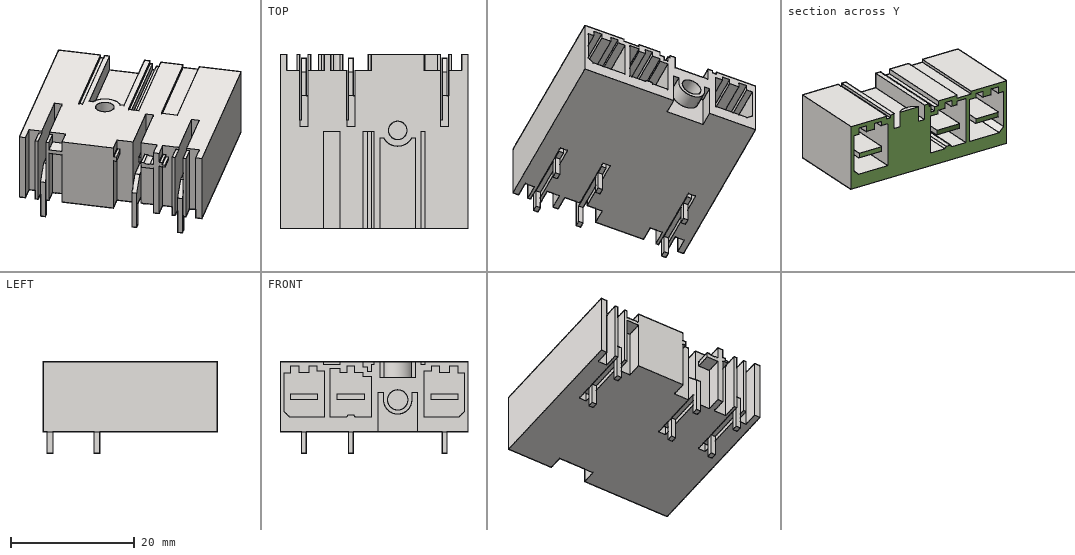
import cadquery as cq
import math


PITCH = 7.62
POSITIONS = 4
WIDTH = PITCH * POSITIONS
DEPTH = 28.3
HEIGHT = 11.4

LEFT_X, MIDDLE_X, SCREW_X, RIGHT_X = [PITCH * (i + 0.5) for i in range(POSITIONS)]
CONTACT_XS = (LEFT_X, MIDDLE_X, RIGHT_X)

CAVITY_DEPTH = 15.8
CAVITY_FLOOR = 2.4
KEY_FLOOR = 9.63
KEY_TOP = 10.65
OUTER_SHOULDER = 9.53
INNER_SHOULDER = 9.9
CORNER_CHAMFER = 0.87

RIDGE_BASE = 1.4
RIDGE_TOP = 0.9
RIDGE_HEIGHT = 0.36

GROOVE_DEPTH = 0.5
WIDE_GROOVE_X = (7.0, 9.68)
NARROW_GROOVE_X = (22.8, 23.47)
STEPPED_GROOVE_X = (13.42, 14.17, 14.8, 15.19)
STEP_DEPTHS = (0.86, 1.61, GROOVE_DEPTH)

POCKET_WIDTH = 5.82
POCKET_FLOOR = 8.78
POCKET_END = 14.7
TOP_HOLE_Y = 15.95
TOP_HOLE_DIAMETER = 3.0
TOP_BOSS_RADIUS = 2.58
TOP_HOLE_DEPTH = HEIGHT - POCKET_FLOOR
RECESS_WIDTH = 6.4
RECESS_HEIGHT = 6.4
RECESS_DEPTH = 2.55
FRONT_BOSS_RADIUS = 2.3
FRONT_HOLE_DIAMETER = 3.3
FRONT_HOLE_Z = 5.18
FRONT_HOLE_DEPTH = 10.0

REAR_Y = 25.7
REAR_WALL = 1.04
KEY_RIB_X = (7.15, 8.1)
SCREW_BLOCK_X = (14.78, 23.35)
SLOT_WIDTH = 1.3
SLOT_START = 16.6
RIB_WIDTH = 0.5
RIB_HEIGHT = 11.0

TONGUE_BOTTOM = 8.94
TONGUE_TOP = 9.74
TONGUE_REACH = 0.52
TONGUE_CHAMFER = 0.1
HOOK_REACH = 1.0
HOOK_HEIGHT = 0.4
LEDGE_TOP = 9.6
LIP_REACH = 2.05
LIP_LEDGE = 0.55
LIP_BOTTOM = 8.4
LIP_LEDGE_TOP = 9.2
LIP_RADIUS = 0.98
LIP_ARC_START = math.radians(-115)
LIP_ARC_END = math.radians(-50)

BLADE_WIDTH = 4.43
BLADE_THICKNESS = 0.9
BLADE_Z = HEIGHT / 2
BLADE_TIP = 5.0
BLADE_SHOULDER = 17.67
BLADE_END = 21.6
PLATE_THICKNESS = 0.8
PLATE_BOTTOM = 0.5
PLATE_SLOPE_START = 25.45
LEG_WIDTH = 1.0
LEG_LENGTH = 3.5
REAR_LEG_Y = 27.2
FRONT_LEG_Y = REAR_LEG_Y - PITCH


def box(x0, x1, y0, y1, z0, z1):
    return cq.Workplane("XY").box(x1 - x0, y1 - y0, z1 - z0, centered=False).translate((x0, y0, z0))


def along_y(points, y0, y1):
    """Extrude a closed XZ outline from y0 to y1."""
    return cq.Workplane("XZ", origin=(0, y0, 0)).polyline(points).close().extrude(y0 - y1)


def end_cavity():
    """Cavity of the left position, with two keyways and one chamfered corner."""
    outer, inner = 0.61, 7.17
    outer_key = (1.61, 3.01)
    inner_key = (4.64, 5.91)
    outline = [
        (outer + CORNER_CHAMFER, CAVITY_FLOOR),
        (inner, CAVITY_FLOOR),
        (inner, INNER_SHOULDER),
        (inner_key[1], INNER_SHOULDER),
        (inner_key[1], KEY_TOP),
        (inner_key[0], KEY_TOP),
        (inner_key[0], KEY_FLOOR),
        (outer_key[1], KEY_FLOOR),
        (outer_key[1], KEY_TOP),
        (outer_key[0], KEY_TOP),
        (outer_key[0], OUTER_SHOULDER),
        (outer, OUTER_SHOULDER),
        (outer, CAVITY_FLOOR + CORNER_CHAMFER),
    ]
    return along_y(outline, 0, CAVITY_DEPTH)


def middle_cavity():
    """Cavity of the second position, stepped at the ceiling and ridged on the floor."""
    left, right = 8.02, 14.81
    high_step_x, high_step_z = 9.68, 10.27
    low_step_x, low_step_z = 13.42, 9.0
    key = (10.78, 12.04)
    ridge_z = CAVITY_FLOOR + RIDGE_HEIGHT
    outline = [
        (left, CAVITY_FLOOR),
        (MIDDLE_X - RIDGE_BASE / 2, CAVITY_FLOOR),
        (MIDDLE_X - RIDGE_TOP / 2, ridge_z),
        (MIDDLE_X + RIDGE_TOP / 2, ridge_z),
        (MIDDLE_X + RIDGE_BASE / 2, CAVITY_FLOOR),
        (right, CAVITY_FLOOR),
        (right, low_step_z),
        (low_step_x, low_step_z),
        (low_step_x, KEY_FLOOR),
        (key[1], KEY_FLOOR),
        (key[1], KEY_TOP),
        (key[0], KEY_TOP),
        (key[0], KEY_FLOOR),
        (high_step_x, KEY_FLOOR),
        (high_step_x, high_step_z),
        (left, high_step_z),
    ]
    return along_y(outline, 0, CAVITY_DEPTH)


def groove(x0, x1, depth):
    return box(x0, x1, 0, CAVITY_DEPTH, HEIGHT - depth, HEIGHT)


def cut_top_grooves(body):
    body = body.cut(groove(*WIDE_GROOVE_X, GROOVE_DEPTH))
    body = body.cut(groove(*NARROW_GROOVE_X, GROOVE_DEPTH))
    for x0, x1, depth in zip(STEPPED_GROOVE_X, STEPPED_GROOVE_X[1:], STEP_DEPTHS):
        body = body.cut(groove(x0, x1, depth))
    return body


def cut_top_pocket(body):
    """Open pocket in the top face, ending at a round boss with a blind hole."""
    half = POCKET_WIDTH / 2
    pocket = box(SCREW_X - half, SCREW_X + half, 0, POCKET_END, POCKET_FLOOR, HEIGHT)
    floor = cq.Workplane("XY", origin=(SCREW_X, TOP_HOLE_Y, POCKET_FLOOR))
    body = body.cut(pocket.cut(floor.circle(TOP_BOSS_RADIUS).extrude(HEIGHT)))
    top = cq.Workplane("XY", origin=(SCREW_X, TOP_HOLE_Y, HEIGHT))
    return body.cut(top.circle(TOP_HOLE_DIAMETER / 2).extrude(-TOP_HOLE_DEPTH))


def cut_front_recess(body):
    """Recess in the mating face around a hanging round boss with a blind hole."""
    half = RECESS_WIDTH / 2
    recess = box(SCREW_X - half, SCREW_X + half, 0, RECESS_DEPTH, 0, RECESS_HEIGHT)
    boss_web = box(SCREW_X - FRONT_BOSS_RADIUS, SCREW_X + FRONT_BOSS_RADIUS,
                   0, RECESS_DEPTH, FRONT_HOLE_Z, RECESS_HEIGHT)
    face = cq.Workplane("XZ", origin=(SCREW_X, 0, FRONT_HOLE_Z))
    boss = face.circle(FRONT_BOSS_RADIUS).extrude(-RECESS_DEPTH)
    body = body.cut(recess.cut(boss_web).cut(boss))
    return body.cut(face.circle(FRONT_HOLE_DIAMETER / 2).extrude(-FRONT_HOLE_DEPTH))


def rear_tongue(edge_x):
    """Tongue on the left side of a wall at edge_x, with a chamfer up to the wall."""
    outline = [
        (edge_x, TONGUE_BOTTOM),
        (edge_x - TONGUE_REACH, TONGUE_BOTTOM),
        (edge_x - TONGUE_REACH, TONGUE_TOP),
        (edge_x - TONGUE_CHAMFER, TONGUE_TOP),
        (edge_x, TONGUE_TOP + TONGUE_CHAMFER),
    ]
    return along_y(outline, REAR_Y, DEPTH)


def rear_lip():
    """Long lip on the right of the key rib, with a concave trough rising to its outer land."""
    wall = KEY_RIB_X[1]
    arc_x = wall + LIP_LEDGE - LIP_RADIUS * math.cos(LIP_ARC_START)
    arc_z = LIP_LEDGE_TOP - LIP_RADIUS * math.sin(LIP_ARC_START)

    def on_arc(angle):
        return arc_x + LIP_RADIUS * math.cos(angle), arc_z + LIP_RADIUS * math.sin(angle)

    land_z = on_arc(LIP_ARC_END)[1]
    profile = (
        cq.Workplane("XZ", origin=(0, REAR_Y, 0))
        .moveTo(wall, LIP_BOTTOM)
        .lineTo(wall, LIP_LEDGE_TOP + TONGUE_CHAMFER)
        .lineTo(wall + TONGUE_CHAMFER, LIP_LEDGE_TOP)
        .lineTo(*on_arc(LIP_ARC_START))
        .threePointArc(on_arc((LIP_ARC_START + LIP_ARC_END) / 2), on_arc(LIP_ARC_END))
        .lineTo(wall + LIP_REACH, land_z)
        .lineTo(wall + LIP_REACH, LIP_BOTTOM)
        .close()
    )
    return profile.extrude(REAR_Y - DEPTH)


def rear_ledge():
    """Flat ledge between the screw block and the right contact slot, chamfered at the block."""
    wall = SCREW_BLOCK_X[1]
    end = RIGHT_X - SLOT_WIDTH / 2
    outline = [
        (wall, TONGUE_BOTTOM),
        (end, TONGUE_BOTTOM),
        (end, LEDGE_TOP),
        (wall + TONGUE_CHAMFER, LEDGE_TOP),
        (wall, LEDGE_TOP + TONGUE_CHAMFER),
    ]
    return along_y(outline, REAR_Y, DEPTH)


def shape_rear(body):
    """Clear the rear band, then add the walls, ribs and tongues that stand in it."""
    body = body.cut(box(0, WIDTH, REAR_Y, DEPTH, 0, HEIGHT))
    for x0, x1 in ((0, REAR_WALL), KEY_RIB_X, SCREW_BLOCK_X, (WIDTH - REAR_WALL, WIDTH)):
        body = body.union(box(x0, x1, REAR_Y, DEPTH, 0, HEIGHT))
    for x in (LEFT_X, RIGHT_X):
        half = SLOT_WIDTH / 2 + RIB_WIDTH
        body = body.union(box(x - half, x + half, REAR_Y, DEPTH, 0, RIB_HEIGHT))
    for wall in (KEY_RIB_X[0], SCREW_BLOCK_X[0]):
        body = body.union(rear_tongue(wall))
    hook_x = KEY_RIB_X[0] - HOOK_REACH
    hook = box(hook_x, KEY_RIB_X[0], REAR_Y, DEPTH, TONGUE_BOTTOM, TONGUE_BOTTOM + HOOK_HEIGHT)
    return body.union(hook).union(rear_lip()).union(rear_ledge())


def contact(x):
    """Flat blade bent down along its rear into an upright plate with two solder legs."""
    half = BLADE_WIDTH / 2
    z0 = BLADE_Z - BLADE_THICKNESS / 2
    z1 = BLADE_Z + BLADE_THICKNESS / 2
    plate_left = x - PLATE_THICKNESS / 2
    blade = box(x - half, x + half, BLADE_TIP, BLADE_SHOULDER, z0, z1)
    tail = box(plate_left, x + half, BLADE_SHOULDER, BLADE_END, z0, z1)
    rear = REAR_LEG_Y + LEG_WIDTH / 2
    slope_drop = rear - PLATE_SLOPE_START
    plate_outline = [
        (BLADE_SHOULDER, PLATE_BOTTOM),
        (rear, PLATE_BOTTOM),
        (rear, z0 - slope_drop),
        (PLATE_SLOPE_START, z0),
        (BLADE_SHOULDER, z0),
    ]
    plane = cq.Workplane("YZ", origin=(plate_left, 0, 0))
    plate = plane.polyline(plate_outline).close().extrude(PLATE_THICKNESS)
    body = blade.union(tail).union(plate)
    for y in (FRONT_LEG_Y, REAR_LEG_Y):
        leg = box(plate_left, plate_left + PLATE_THICKNESS, y - LEG_WIDTH / 2, y + LEG_WIDTH / 2,
                  -LEG_LENGTH, PLATE_BOTTOM)
        body = body.union(leg)
    return body


def housing_body(contacts):
    body = box(0, WIDTH, 0, DEPTH, 0, HEIGHT)
    left = end_cavity()
    right = left.mirror("YZ", (WIDTH / 2, 0, 0))
    body = body.cut(left).cut(right).cut(middle_cavity())
    body = cut_top_grooves(body)
    body = cut_top_pocket(body)
    body = cut_front_recess(body)
    body = shape_rear(body)
    for x in CONTACT_XS:
        half = SLOT_WIDTH / 2
        body = body.cut(box(x - half, x + half, SLOT_START, DEPTH, 0, HEIGHT))
    for blade in contacts:
        body = body.cut(blade)
    return body


contacts = [contact(x) for x in CONTACT_XS]
housing = housing_body(contacts)

result = cq.Compound.makeCompound([housing.val(), *[item.val() for item in contacts]])